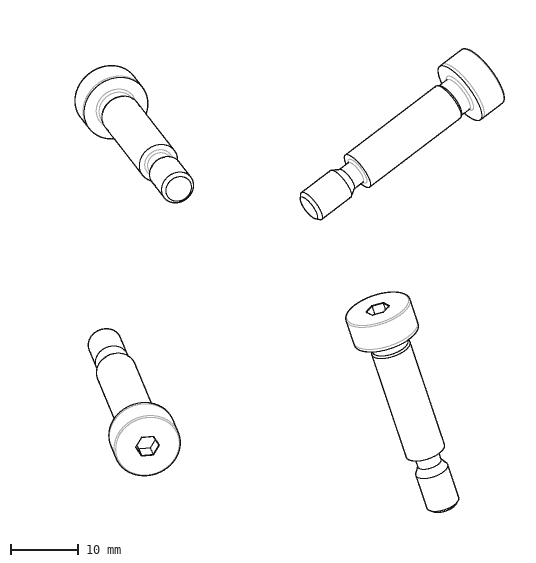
import cadquery as cq
import math

total_length = 34.0

head_diameter = 10.0
head_rim_diameter = 9.95
head_length = 4.5
head_taper_length = 0.48
head_edge_radius = 0.2

shoulder_diameter = 6.0
shoulder_start = 6.8
shoulder_bevel_length = 0.3
shoulder_end = 24.5
head_relief_diameter = 5.5

tip_diameter = 5.0
tip_start = 27.8
tip_chamfer = 0.5
tip_relief_diameter = 3.65
tip_cone_angle = 30.0

relief_fillet = 0.35

socket_across_flats = 3.0
socket_chamfer = 0.07
socket_depth = 2.25

head_radius = head_diameter / 2
shoulder_radius = shoulder_diameter / 2
head_relief_radius = head_relief_diameter / 2
tip_radius = tip_diameter / 2
tip_relief_radius = tip_relief_diameter / 2
tip_cone_length = (tip_radius - tip_relief_radius) / math.tan(math.radians(tip_cone_angle))


def add_relief_fillet(profile, face_x, groove_radius):
    """Run down a face and round the inside corner into a relief groove."""
    inset = relief_fillet * (1 - math.sqrt(0.5))
    return profile.lineTo(face_x, groove_radius + relief_fillet).threePointArc(
        (face_x + inset, groove_radius + inset),
        (face_x + relief_fillet, groove_radius),
    )


def make_body():
    """Revolve the half section (X, radius) about the X axis."""
    profile = (
        cq.Workplane("XY")
        .lineTo(0, head_radius - head_edge_radius)
        .tangentArcPoint((head_edge_radius, head_radius), relative=False)
        .lineTo(head_length - head_taper_length, head_radius)
        .lineTo(head_length, head_rim_diameter / 2)
    )
    profile = add_relief_fillet(profile, head_length, head_relief_radius)
    profile = (
        profile.lineTo(shoulder_start - shoulder_bevel_length, head_relief_radius)
        .lineTo(shoulder_start, shoulder_radius)
        .lineTo(shoulder_end, shoulder_radius)
    )
    profile = add_relief_fillet(profile, shoulder_end, tip_relief_radius)
    profile = (
        profile.lineTo(tip_start - tip_cone_length, tip_relief_radius)
        .lineTo(tip_start, tip_radius)
        .lineTo(total_length - tip_chamfer, tip_radius)
        .lineTo(total_length, tip_radius - tip_chamfer)
        .lineTo(total_length, 0)
        .close()
    )
    return profile.revolve(360, (0, 0, 0), (1, 0, 0))


def hexagon(across_flats):
    """Hexagon on the head face with two corners on the Y axis."""
    across_corners = across_flats / math.cos(math.pi / 6)
    return cq.Workplane("YZ").polygon(6, across_corners)


def make_socket():
    """Hexagonal prism with a 45 degree lead-in at the head face."""
    prism = hexagon(socket_across_flats).extrude(socket_depth)
    lead_in = hexagon(socket_across_flats + 2 * socket_chamfer).extrude(socket_chamfer, taper=45)
    return prism.union(lead_in)


result = make_body().cut(make_socket())